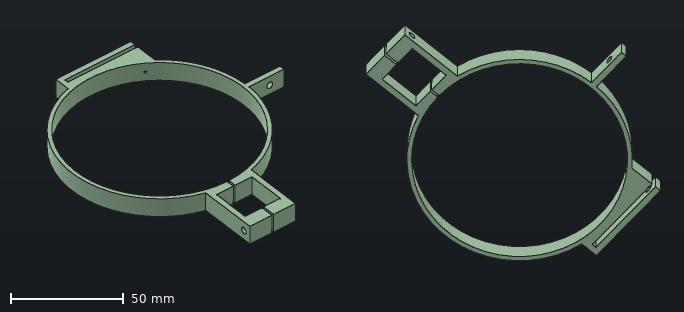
import cadquery as cq

height = 10.0
ring_outer_radius = 49.9
ring_inner_radius = 47.7

overall_length = 136.0
wall = 3.0
screw_diameter = 3.3
pilot_diameter = 1.0

tab_tip_y = 69.9
tab_hole_inset = 8.2
tab_hole_y = tab_tip_y - tab_hole_inset

block_left = -56.8
block_bottom = -13.0
block_top = 29.9
block_slot_width = 2.0
block_hole_inset = 4.9
block_hole_y = block_top - block_hole_inset

clamp_right = block_left + overall_length
clamp_half_width = 13.0
window_left = 52.2
window_right = 72.1
split_gap = 1.0
clamp_hole_inset = 4.2
clamp_hole_x = clamp_right - clamp_hole_inset


def plate(x_min, x_max, y_min, y_max):
    """Full-height rectangular block between the given limits."""
    return cq.Workplane("XY").box(
        x_max - x_min, y_max - y_min, height, centered=False
    ).translate((x_min, y_min, 0))


def disc(radius):
    """Full-height disc about the ring axis."""
    return cq.Workplane("XY").circle(radius).extrude(height)


def hole_along_x(diameter, x_min, x_max, y):
    """Cutter along X at mid-height."""
    start = cq.Workplane("YZ", origin=(x_min, y, height / 2))
    return start.circle(diameter / 2).extrude(x_max - x_min)


def hole_along_y(diameter, y_min, y_max, x):
    """Cutter along Y at mid-height."""
    start = cq.Workplane("XZ", origin=(x, y_max, height / 2))
    return start.circle(diameter / 2).extrude(y_max - y_min)


body = disc(ring_outer_radius)
body = body.union(plate(-wall / 2, wall / 2, 0, tab_tip_y))
body = body.union(plate(block_left, 0, block_bottom, block_top))
body = body.union(plate(0, clamp_right, -clamp_half_width, clamp_half_width))
body = body.cut(disc(ring_inner_radius))

body = body.cut(hole_along_x(screw_diameter, -wall, wall, tab_hole_y))

slot_left = block_left + wall
slot_right = slot_left + block_slot_width
body = body.cut(plate(slot_left, slot_right, block_bottom + wall, block_top))
body = body.cut(hole_along_x(screw_diameter, block_left, slot_right, block_hole_y))
body = body.cut(hole_along_x(pilot_diameter, slot_left, 0, block_hole_y))

window_half_width = clamp_half_width - wall
body = body.cut(plate(window_left, window_right, -window_half_width, window_half_width))
body = body.cut(plate(0, clamp_right, -split_gap / 2, split_gap / 2))
body = body.cut(hole_along_y(screw_diameter, -clamp_half_width, clamp_half_width, clamp_hole_x))

result = body